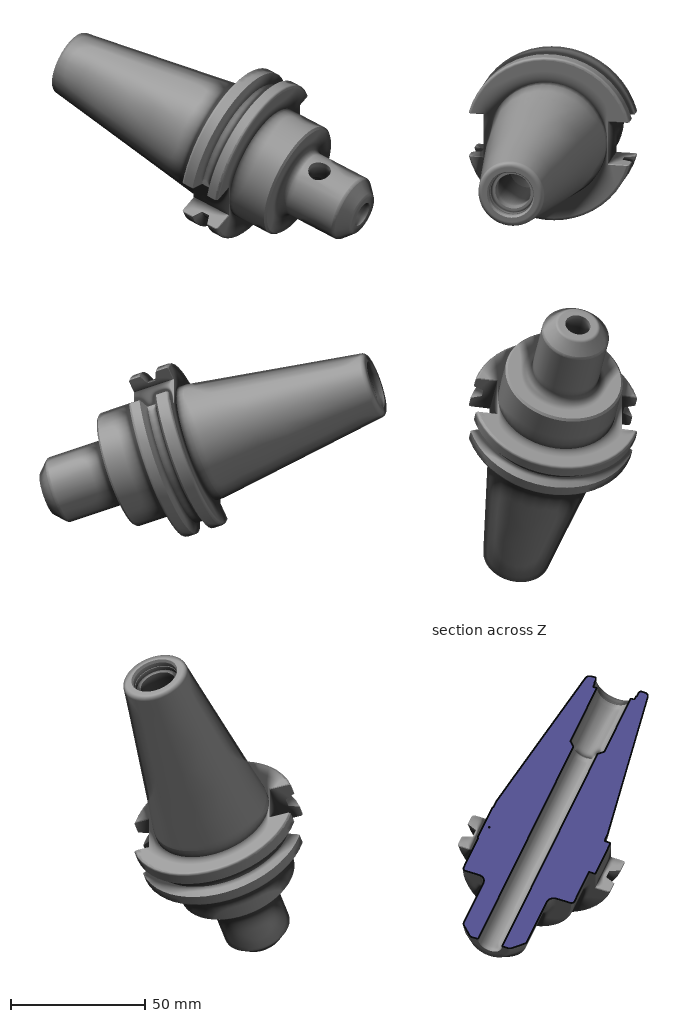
import cadquery as cq

total_length = 131.8
nose_rounding = 1.8
taper_end_x = 68.1
flange_start_x = 71.1
flange_end_x = 87.1
collar_end_x = 103.3

taper_small_diameter = 25.2
taper_large_diameter = 44.5
flange_diameter = 63.5
groove_diameter = 55.9
spigot_diameter = 25.4

flange_edge_radius = 1.0
collar_chamfer = 0.8
spigot_root_radius = 2.8
tip_cone_size = 4.7
tip_edge_radius = 1.6
tip_shoulder_radius = 1.6

groove_center_x = 79.3
groove_floor_width = 3.2
groove_mouth_width = 6.6

slot_width = 16.5
plus_y_slot_floor = 24.8
minus_y_slot_floor = 22.5
slot_edge_chamfer = 0.3

mouth_diameter = 17.9
pilot_diameter = 16.9
pilot_depth = 2.8
mouth_chamfer_depth = 1.0
thread_relief_diameter = 16.3
thread_relief_depth = 4.5
thread_diameter = 13.5
thread_depth = 31.6
bore_diameter = 9.5
drill_point_length = (thread_diameter - bore_diameter) / 2

cross_hole_diameter = 8.4
cross_hole_x = 112.5

selection_margin = 0.01


def cylinder(start_x, end_x, diameter):
    return cq.Workplane("YZ", origin=(start_x, 0, 0)).circle(diameter / 2).extrude(end_x - start_x)


def revolve_about_x(points):
    return cq.Workplane("XY").polyline(points).close().revolve(360, (0, 0, 0), (1, 0, 0))


def make_taper():
    slope = (taper_large_diameter - taper_small_diameter) / 2 / (taper_end_x - nose_rounding)
    end_radius = taper_small_diameter / 2 - slope * nose_rounding
    cone = revolve_about_x([
        (0, 0),
        (0, end_radius),
        (taper_end_x, taper_large_diameter / 2),
        (taper_end_x, 0),
    ])
    return cone.faces("<X").edges().fillet(nose_rounding)


def chamfer_slot_walls(flange, side, floor_distance):
    def is_wall(face):
        center = face.Center()
        on_side = side * center.y > floor_distance
        at_wall = abs(abs(center.z) - slot_width / 2) < selection_margin
        return on_side and at_wall and face.geomType() == "PLANE"

    def is_outer(edge):
        return side * edge.Center().y > floor_distance + selection_margin

    walls = [face for face in flange.faces().vals() if is_wall(face)]
    edges = [edge for wall in walls for edge in wall.Edges() if is_outer(edge)]
    return flange.newObject(edges).chamfer(slot_edge_chamfer)


def make_flange():
    flange = cylinder(flange_start_x, flange_end_x, flange_diameter).edges().fillet(flange_edge_radius)
    middle_x = (flange_start_x + flange_end_x) / 2
    outer_radius = flange_diameter / 2
    groove = revolve_about_x([
        (groove_center_x - groove_mouth_width / 2, outer_radius),
        (groove_center_x - groove_floor_width / 2, groove_diameter / 2),
        (groove_center_x + groove_floor_width / 2, groove_diameter / 2),
        (groove_center_x + groove_mouth_width / 2, outer_radius),
    ])
    for side, floor_distance in ((1, plus_y_slot_floor), (-1, minus_y_slot_floor)):
        slot_depth = outer_radius - floor_distance
        slot_center_y = side * (floor_distance + slot_depth / 2)
        slot = cq.Workplane("XY").box(flange_end_x - flange_start_x, slot_depth, slot_width)
        flange = flange.cut(slot.translate((middle_x, slot_center_y, 0)))
        flange = chamfer_slot_walls(flange, side, floor_distance)
    return flange.cut(groove)


def make_collar():
    collar = cylinder(taper_end_x, collar_end_x, taper_large_diameter)
    return collar.faces(">X").edges().chamfer(collar_chamfer)


def make_spigot():
    radius = spigot_diameter / 2
    spigot = cylinder(collar_end_x, total_length, spigot_diameter)
    spigot = spigot.faces(">X").edges().chamfer(tip_cone_size)
    spigot = spigot.faces(">X").edges().fillet(tip_edge_radius)
    shoulder = cq.selectors.BoxSelector(
        (total_length - tip_cone_size - selection_margin, -spigot_diameter, -spigot_diameter),
        (total_length - tip_cone_size + selection_margin, spigot_diameter, spigot_diameter),
    )
    spigot = spigot.edges(shoulder).fillet(tip_shoulder_radius)
    root = (
        cq.Workplane("XY")
        .moveTo(collar_end_x, radius)
        .lineTo(collar_end_x, radius + spigot_root_radius)
        .radiusArc((collar_end_x + spigot_root_radius, radius), -spigot_root_radius)
        .close()
        .revolve(360, (0, 0, 0), (1, 0, 0))
    )
    return spigot.union(root)


def make_bore():
    return revolve_about_x([
        (0, 0),
        (0, mouth_diameter / 2),
        (mouth_chamfer_depth, pilot_diameter / 2),
        (pilot_depth, pilot_diameter / 2),
        (pilot_depth, thread_relief_diameter / 2),
        (thread_relief_depth, thread_relief_diameter / 2),
        (thread_relief_depth, thread_diameter / 2),
        (thread_depth, thread_diameter / 2),
        (thread_depth + drill_point_length, bore_diameter / 2),
        (total_length, bore_diameter / 2),
        (total_length, 0),
    ])


cross_hole = (
    cq.Workplane("XY", origin=(cross_hole_x, 0, 0))
    .circle(cross_hole_diameter / 2)
    .extrude(spigot_diameter / 2)
)

result = (
    make_taper()
    .union(make_collar())
    .union(make_flange())
    .union(make_spigot())
    .cut(make_bore())
    .cut(cross_hole)
)